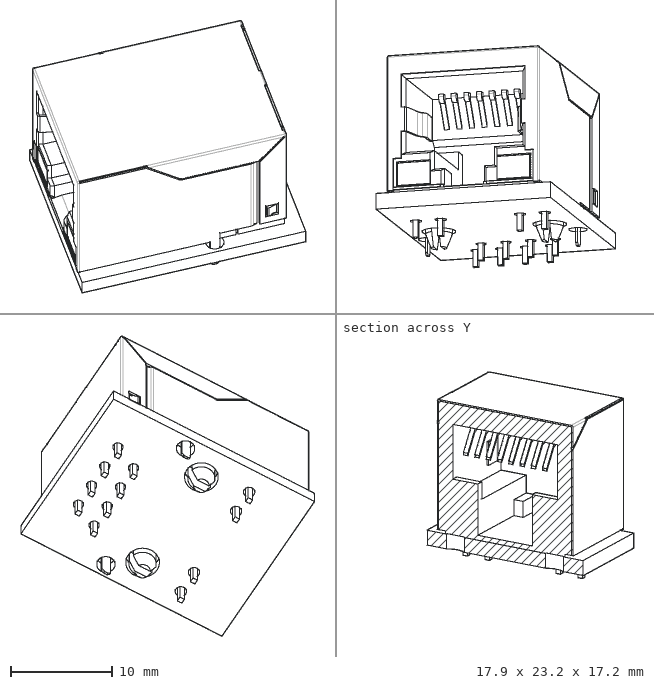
import cadquery as cq


board_width = 17.95
board_length = 23.05
board_thickness = 1.6
contact_hole_diameter = 1.0
led_hole_diameter = 1.1
tab_hole_diameter = 1.8
peg_hole_diameter = 3.3

sheet = 0.2
bend_radius = 0.19
shield_half_width = 7.82
shield_front = -0.1
shield_rear = 21.47
shield_top = 15.48
side_bottom = 1.85
front_bottom = 1.75
rear_bottom = 2.87
rear_cutout_front = 14.53
seam_width = 0.15
flap_bottom = 12.3
flap_front_top = 6.75
flap_front_bottom = 10.48
flap_rear_bottom = 18.65
seam_slant_width = 0.25
wrap_gap = 0.23
lip_bevel_length = 0.4
lip_roll_length = 0.65
lip_roll_depth = 0.05
side_joint_depth = 0.16
rear_joint_depth = 0.25
rear_joints = ((0.97, 6.57), (6.66, 7.1))
ground_tab_front = 13.55
ground_tab_tip_chamfer = 0.28
latch_window_y = (19.25, 20.6)
latch_window_z = (3.77, 5.37)

mouth_half_width = 6.36
mouth_top = 13.51
led_opening_half_width = 7.2
led_opening_top = 5.0
spring_bottom = 7.73
spring_top = 10.15
spring_root = 6.0
spring_face = 5.83
spring_tip = 4.67
spring_end = 5.1
spring_lean_end = (5.32, 2.22)
spring_curve_in = (5.23, 2.55)
spring_curve_middle = (5.02, 2.82)
spring_curve_out = (4.77, 3.1)
spring_curve_end = (spring_tip, 3.47)

fit_half_width = shield_half_width - sheet
housing_front = shield_front + sheet
housing_rear = shield_rear - sheet
housing_top = shield_top - sheet
housing_bottom = side_bottom
side_groove_width = 0.2
side_groove_y = 16.38
latch_peak = 7.9
latch_peak_front = 19.41
latch_peak_rear = 19.6
latch_ramp_rear = 20.43
latch_z = (3.86, 5.1)

cavity_half_width = spring_root
cavity_top = 13.12
shelf_top = 5.65
shelf_edge = 3.1
floor_top = 2.1
floor_ramp_length = 1.1
floor_ramp_half_width = 2.38
floor_ramp_drop = 0.23
stop_edge = 2.04
stop_top = 3.77
stop_rear = 2.85
mouth_chamfer_length = 0.35
mouth_shelf_top = 5.4
mouth_shelf_edge = 3.42
mouth_stop_edge = 2.31
mouth_stop_top = 3.52
cavity_rear = 10.41
contact_wall = 9.83
contact_wall_bottom = 8.98
contact_wall_low_edge = 8.4
shelf_step_front = 9.02
shelf_step_top = 7.45

led_outer = 6.9
led_bottom = 2.18
led_top = 4.67
led_gap = 0.12
led_gap_depth = 0.46
led_setback = 0.07

contact_count = 8
spring_contact_pitch = 1.3
contact_width = 0.5
contact_rise = 0.3
contact_front = 7.78
contact_bend_bottom = 12.3
contact_wall_z = 9.97
contact_bend_radius = 0.55
contact_embed = 0.23
pin_side = 0.5
pin_bottom = -1.67
pin_pitch = 1.27
pin_row_front = 17.33
pin_row_rear = 19.88
led_pin_x = (4.07, 6.62)
led_pin_y = 6.1
peg_x = 5.7
peg_y = 11.04
peg_diameter = 2.68
peg_tip_diameter = 1.53
peg_straight_bottom = -0.25
peg_slot_width = 0.75
shoulder_diameter = 3.59
front_foot_half_width = led_opening_half_width
front_foot_rear = 2.7
middle_foot_half_width = 5.55
middle_foot_y = (3.86, 15.9)
foot_chamfer = 0.23

ground_tab_x = shield_half_width - sheet / 2
ground_tab_y = (ground_tab_front + rear_cutout_front) / 2
contact_pins = [
    ((i - (contact_count - 1) / 2) * pin_pitch, pin_row_front if i % 2 else pin_row_rear)
    for i in range(contact_count)
]
led_pins = [(side * x, led_pin_y) for side in (-1, 1) for x in led_pin_x]
pegs = [(side * peg_x, peg_y) for side in (-1, 1)]


def box(x, y, z):
    """Box from (low, high) ranges along the three axes."""
    return (
        cq.Workplane("XY")
        .box(x[1] - x[0], y[1] - y[0], z[1] - z[0], centered=False)
        .translate((x[0], y[0], z[0]))
    )


def both_sides(solid):
    """The solid together with its mirror image across the middle plane X = 0."""
    return solid.union(solid.mirror("YZ"))


def extrude_along_y(points, y):
    """Prism over an XZ outline between two Y values."""
    return cq.Workplane("XZ", origin=(0, y[0], 0)).polyline(points).close().extrude(y[0] - y[1])


def extrude_along_x(points, x):
    """Prism over a YZ outline between two X values."""
    return cq.Workplane("YZ", origin=(x[0], 0, 0)).polyline(points).close().extrude(x[1] - x[0])


def symmetric(half):
    """Close a right-hand half outline with its mirror image."""
    return half + [(-x, z) for x, z in reversed(half)]


def make_board():
    board = box((-board_width / 2, board_width / 2), (0, board_length), (0, board_thickness))
    tabs = [(side * ground_tab_x, ground_tab_y) for side in (-1, 1)]
    hole_groups = (
        (contact_pins, contact_hole_diameter),
        (led_pins, led_hole_diameter),
        (tabs, tab_hole_diameter),
        (pegs, peg_hole_diameter),
    )
    for places, diameter in hole_groups:
        holes = cq.Workplane("XY").pushPoints(places).circle(diameter / 2).extrude(board_thickness)
        board = board.cut(holes)
    return board



def shield_shell():
    """Bent sheet-metal box, open underneath."""
    outside = box(
        (-shield_half_width, shield_half_width), (shield_front, shield_rear), (front_bottom, shield_top)
    )
    outside = outside.edges("|Z").fillet(bend_radius).faces(">Z").edges().fillet(bend_radius)
    inside = box((-fit_half_width, fit_half_width), (housing_front, housing_rear), (front_bottom, housing_top))
    shell = outside.cut(inside)
    side_trim = box(
        (-shield_half_width, shield_half_width), (housing_front, shield_rear), (front_bottom, side_bottom)
    )
    rear_trim = box(
        (-shield_half_width, shield_half_width), (rear_cutout_front, shield_rear), (front_bottom, rear_bottom)
    )
    return shell.cut(side_trim).cut(rear_trim)


def shield_mouth():
    half = [
        (mouth_half_width, mouth_top),
        (mouth_half_width, led_opening_top),
        (led_opening_half_width, led_opening_top),
        (led_opening_half_width, front_bottom),
    ]
    return extrude_along_y(symmetric(half), (shield_front, housing_front))


def flap_seam():
    """Gap around the trapezoid flap folded down from the top, on the +X side."""
    lower = flap_bottom
    upper = flap_bottom + seam_width
    seam_miter = seam_width / 2
    outline = [
        (flap_front_top, shield_top),
        (flap_front_bottom, lower),
        (flap_rear_bottom, lower),
        (housing_rear, housing_top),
        (housing_rear - seam_width, housing_top),
        (flap_rear_bottom - seam_miter, upper),
        (flap_front_bottom + seam_miter, upper),
        (flap_front_top + seam_slant_width, shield_top),
    ]
    return extrude_along_x(outline, (fit_half_width, shield_half_width))


def rear_panel_gap():
    """Upright gap with a rolled-in lip where the rear panel wraps round to the +X side."""
    gap_front = flap_rear_bottom - wrap_gap
    lip_start = gap_front - lip_roll_length
    lip_middle = gap_front - lip_bevel_length
    outline = [
        (fit_half_width, flap_rear_bottom),
        (fit_half_width, gap_front),
        (shield_half_width - lip_roll_depth, lip_middle),
        (shield_half_width, lip_start),
        (shield_half_width, flap_rear_bottom),
    ]
    height = flap_bottom - rear_bottom
    return cq.Workplane("XY", origin=(0, 0, rear_bottom)).polyline(outline).close().extrude(height)


def open_joints():
    """Notches along the top edges where neighbouring panels meet without a bend, +X half."""
    notches = box(
        (shield_half_width - side_joint_depth, shield_half_width),
        (housing_front, flap_front_top),
        (shield_top - side_joint_depth, shield_top),
    )
    for x in rear_joints:
        notches = notches.union(box(x, (shield_rear - rear_joint_depth, shield_rear), (housing_top, shield_top)))
    return notches


def ground_tab():
    """Board tab hanging from the +X side panel, with a chamfered tip."""
    outline = [
        (ground_tab_front, side_bottom),
        (ground_tab_front, pin_bottom + ground_tab_tip_chamfer),
        (ground_tab_front + ground_tab_tip_chamfer, pin_bottom),
        (rear_cutout_front - ground_tab_tip_chamfer, pin_bottom),
        (rear_cutout_front, pin_bottom + ground_tab_tip_chamfer),
        (rear_cutout_front, rear_bottom),
        (ground_tab_front, rear_bottom),
    ]
    return extrude_along_x(outline, (fit_half_width, shield_half_width))


def plug_spring():
    """Spring folded in from the mouth edge that leans and then curves toward the plug, on the +X side."""

    def outer(point):
        return (point[0] + sheet, point[1])

    return (
        cq.Workplane("XY", origin=(0, 0, spring_bottom))
        .moveTo(spring_root, shield_front)
        .lineTo(spring_face, housing_front)
        .lineTo(*spring_lean_end)
        .threePointArc(spring_curve_in, spring_curve_middle)
        .threePointArc(spring_curve_out, spring_curve_end)
        .lineTo(spring_tip, spring_end)
        .lineTo(spring_tip + sheet, spring_end)
        .lineTo(*outer(spring_curve_end))
        .threePointArc(outer(spring_curve_out), outer(spring_curve_middle))
        .threePointArc(outer(spring_curve_in), outer(spring_lean_end))
        .lineTo(spring_face + sheet, housing_front)
        .lineTo(mouth_half_width, housing_front)
        .lineTo(mouth_half_width, shield_front)
        .close()
        .extrude(spring_top - spring_bottom)
    )


def make_shield():
    latch_window = box((fit_half_width, shield_half_width), latch_window_y, latch_window_z)
    shield = shield_shell().cut(shield_mouth())
    for cutter in (flap_seam(), rear_panel_gap(), open_joints(), latch_window):
        shield = shield.cut(both_sides(cutter))
    return shield.union(both_sides(ground_tab())).union(both_sides(plug_spring()))



def plug_cavity():
    """Stepped plug opening with a chamfered mouth, latch channel and sloping floor lip."""
    throat_half = [
        (cavity_half_width, cavity_top),
        (cavity_half_width, shelf_top),
        (shelf_edge, shelf_top),
        (shelf_edge, stop_top),
        (stop_edge, stop_top),
        (stop_edge, floor_top),
    ]
    mouth_half = [
        (mouth_half_width, mouth_top),
        (mouth_half_width, mouth_shelf_top),
        (mouth_shelf_edge, mouth_shelf_top),
        (mouth_shelf_edge, mouth_stop_top),
        (mouth_stop_edge, mouth_stop_top),
        (mouth_stop_edge, floor_top),
    ]
    chamfer = (
        cq.Workplane("XZ", origin=(0, housing_front, 0))
        .polyline(symmetric(mouth_half)).close()
        .workplane(offset=-mouth_chamfer_length)
        .polyline(symmetric(throat_half)).close()
        .loft(ruled=True)
    )
    throat = extrude_along_y(symmetric(throat_half), (housing_front, stop_rear))
    deep_half = throat_half[:3] + [(shelf_edge, floor_top)]
    deep = extrude_along_y(symmetric(deep_half), (stop_rear, cavity_rear))
    ramp = extrude_along_x(
        [
            (housing_front, floor_top),
            (housing_front + floor_ramp_length, floor_top),
            (housing_front, floor_top - floor_ramp_drop),
        ],
        (-stop_edge, stop_edge),
    )
    return chamfer.union(throat).union(deep).union(ramp)


def contact_block():
    """Overhanging block at the cavity's rear, with a sloping underside."""
    outline = [
        (contact_wall, cavity_top),
        (contact_wall, contact_wall_bottom),
        (cavity_rear, contact_wall_low_edge),
        (cavity_rear, cavity_top),
    ]
    return extrude_along_x(outline, (-cavity_half_width, cavity_half_width))


def shelf_step():
    return box((shelf_edge, cavity_half_width), (shelf_step_front, cavity_rear), (shelf_top, shelf_step_top))


def led_gap_groove():
    """Groove round three sides of the +X LED face."""
    inner = mouth_shelf_edge
    outline = [
        (inner, led_top),
        (led_outer, led_top),
        (led_outer, led_bottom),
        (inner, led_bottom),
        (inner, led_bottom + led_gap),
        (led_outer - led_gap, led_bottom + led_gap),
        (led_outer - led_gap, led_top - led_gap),
        (inner, led_top - led_gap),
    ]
    return extrude_along_y(outline, (housing_front, housing_front + led_gap_depth))


def led_recess():
    """Shallow step that sets the +X LED face back from the housing front."""
    x = (mouth_shelf_edge, led_outer)
    return box(x, (housing_front, housing_front + led_setback), (led_bottom, led_top))


def front_lip():
    """Ledge under the +X LED, proud of the housing front."""
    return box((floor_ramp_half_width, led_opening_half_width), (0, housing_front), (housing_bottom, floor_top))


def side_groove():
    y = (side_groove_y - side_groove_width / 2, side_groove_y + side_groove_width / 2)
    return box((fit_half_width - side_groove_width, fit_half_width), y, (housing_bottom, housing_top))


def latch_wedge():
    """Ramped catch that snaps through the +X shield window."""
    outline = [
        (fit_half_width, latch_peak_front),
        (latch_peak, latch_peak_front),
        (latch_peak, latch_peak_rear),
        (fit_half_width, latch_ramp_rear),
    ]
    bottom, top = latch_z
    return cq.Workplane("XY", origin=(0, 0, bottom)).polyline(outline).close().extrude(top - bottom)


def spring_contacts():
    """Contacts that hang from the cavity roof, roll rearward and slope down into the contact block."""
    radius = contact_bend_radius
    bend_rear = contact_front + radius
    bend_top = contact_bend_bottom + radius
    roof = cavity_top + contact_embed
    contact = (
        cq.Workplane("YZ")
        .moveTo(contact_front, roof)
        .lineTo(contact_front, bend_top)
        .radiusArc((bend_rear, contact_bend_bottom), -radius)
        .lineTo(contact_wall, contact_wall_z)
        .lineTo(contact_wall, contact_wall_z + contact_rise)
        .lineTo(bend_rear, contact_bend_bottom + contact_rise)
        .lineTo(bend_rear, roof)
        .close()
        .extrude(contact_width / 2, both=True)
    )
    contacts = cq.Workplane("XY")
    for i in range(contact_count):
        x = (i - (contact_count - 1) / 2) * spring_contact_pitch
        contacts = contacts.add(contact.translate((x, 0, 0)))
    return contacts.combine()


def board_pins():
    return (
        cq.Workplane("XY", origin=(0, 0, pin_bottom))
        .pushPoints(contact_pins + led_pins)
        .rect(pin_side, pin_side)
        .extrude(housing_bottom - pin_bottom)
    )


def board_peg():
    """Split, tapered locating peg with its shoulder, on the +X side."""
    peg = (
        cq.Workplane("XZ")
        .polyline(
            [
                (0, housing_bottom),
                (shoulder_diameter / 2, housing_bottom),
                (shoulder_diameter / 2, board_thickness),
                (peg_diameter / 2, board_thickness),
                (peg_diameter / 2, peg_straight_bottom),
                (peg_tip_diameter / 2, pin_bottom),
                (0, pin_bottom),
            ]
        )
        .close()
        .revolve(360, (0, 0, 0), (0, 1, 0))
    )
    half_slot = peg_slot_width / 2
    slot = box((-half_slot, half_slot), (-peg_diameter, peg_diameter), (pin_bottom, board_thickness))
    return peg.cut(slot).translate((peg_x, peg_y, 0))


def feet():
    """Pads that stand the housing off the board; the front one has a chamfered lower edge."""
    z = (board_thickness, housing_bottom)
    front = box((-front_foot_half_width, front_foot_half_width), (housing_front, front_foot_rear), z)
    middle = box((-middle_foot_half_width, middle_foot_half_width), middle_foot_y, z)
    return front.edges("<Y and <Z").chamfer(foot_chamfer).union(middle)


def make_housing():
    housing = box((-fit_half_width, fit_half_width), (housing_front, housing_rear), (housing_bottom, housing_top))
    housing = housing.cut(plug_cavity())
    for cutter in (led_gap_groove(), led_recess(), side_groove()):
        housing = housing.cut(both_sides(cutter))
    housing = housing.union(contact_block()).union(spring_contacts()).union(feet()).union(board_pins())
    for addition in (shelf_step(), front_lip(), latch_wedge(), board_peg()):
        housing = housing.union(both_sides(addition))
    return housing


board = make_board()
shield = make_shield()
housing = make_housing()

result = cq.Compound.makeCompound([body.solids().val() for body in (board, shield, housing)])